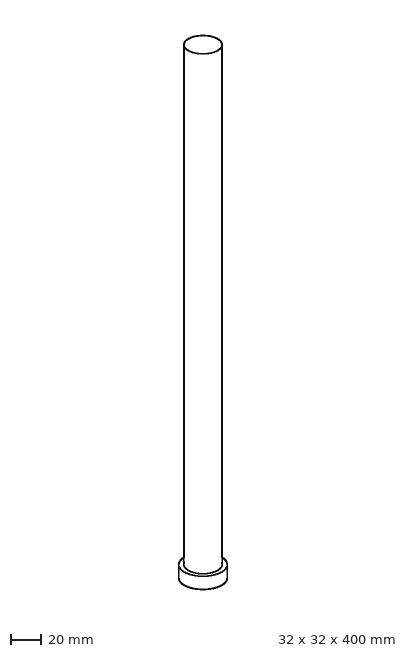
import cadquery as cq

total_length = 400.0
shaft_diameter = 25.0
head_diameter = 32.0
head_height = 10.0

head = cq.Workplane("XY").circle(head_diameter / 2).extrude(head_height)

shaft = cq.Workplane("XY").circle(shaft_diameter / 2).extrude(total_length)

result = head.union(shaft)